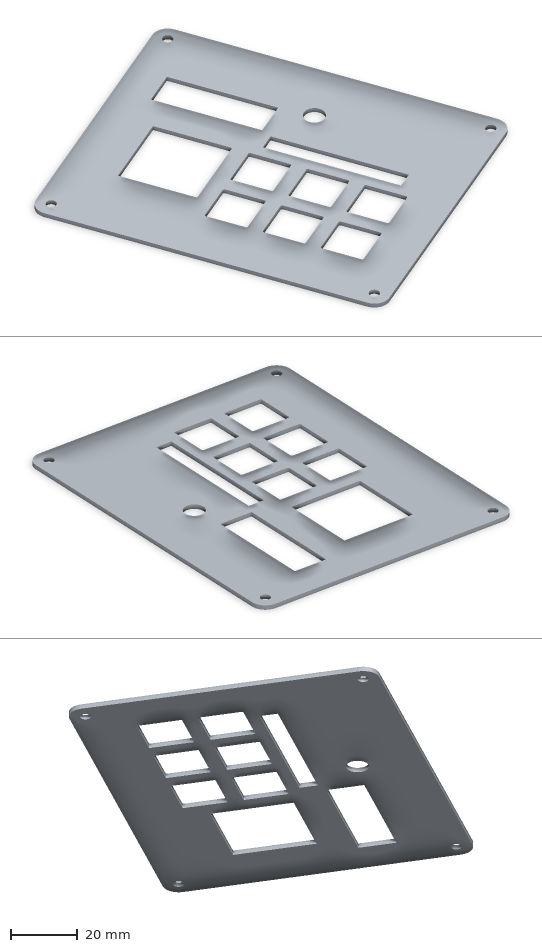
import cadquery as cq

plate_length = 116.0
plate_width = 96.4
plate_thickness = 1.5
corner_radius = 5.0

screw_hole_diameter = 3.4
screw_spacing_x = plate_length - 2 * corner_radius
screw_spacing_y = plate_width - 2 * corner_radius

key_columns = 3
key_rows = 2
key_size = 14.0
key_pitch = 19.0
key_corner_radius = 0.5
key_grid_center = (17.4, -13.3)
key_grid_top = key_grid_center[1] + (key_rows - 1) * key_pitch / 2 + key_size / 2

square_window_size = 26.0
square_window_center = (-27.1, key_grid_top - square_window_size / 2)

display_length = 36.5
display_height = 11.8
display_center = (-27.6, 20.5)

slot_length = 45.4
slot_height = 5.7
slot_center = (16.8, 10.1)

round_hole_diameter = 7.0
round_hole_center = (2.1, 27.5)


def make_plate():
    """Flat plate with rounded vertical corners."""
    plate = cq.Workplane("XY").rect(plate_length, plate_width).extrude(plate_thickness)
    return plate.edges("|Z").fillet(corner_radius)


def rectangular_cutter(center, length, height):
    """Block that cuts a sharp-cornered opening through the plate."""
    return cq.Workplane("XY").center(*center).rect(length, height).extrude(plate_thickness)


def round_cutters(centers, diameter):
    """Cylinders that cut round holes through the plate."""
    return cq.Workplane("XY").pushPoints(centers).circle(diameter / 2).extrude(plate_thickness)


def key_cutters():
    """Grid of square blocks that cut the key openings."""
    blocks = (
        cq.Workplane("XY")
        .center(*key_grid_center)
        .rarray(key_pitch, key_pitch, key_columns, key_rows)
        .rect(key_size, key_size)
        .extrude(plate_thickness)
    )
    return blocks.edges("|Z").fillet(key_corner_radius)


screw_centers = [
    (side_x * screw_spacing_x / 2, side_y * screw_spacing_y / 2)
    for side_x in (-1, 1)
    for side_y in (-1, 1)
]

result = (
    make_plate()
    .cut(round_cutters(screw_centers, screw_hole_diameter))
    .cut(round_cutters([round_hole_center], round_hole_diameter))
    .cut(rectangular_cutter(display_center, display_length, display_height))
    .cut(rectangular_cutter(slot_center, slot_length, slot_height))
    .cut(rectangular_cutter(square_window_center, square_window_size, square_window_size))
    .cut(key_cutters())
)